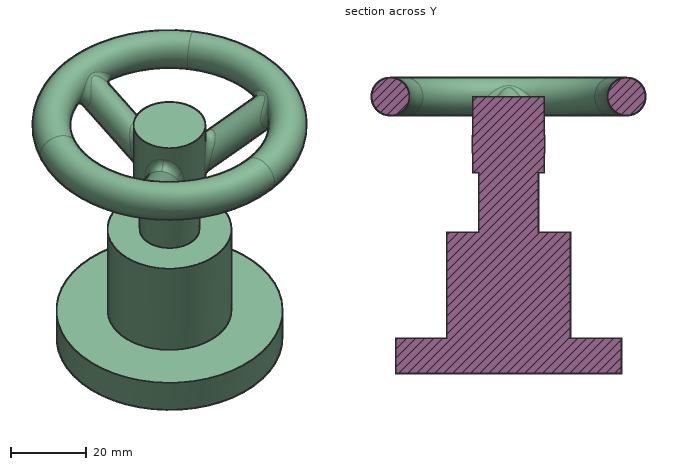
import cadquery as cq
import math

base_diameter = 60.2
base_height = 9.45
body_diameter = 33.0
body_top = 37.7
stem_diameter = 16.0
stem_top = 53.45
hub_diameter = 19.15

overall_height = 78.8
rim_outer_diameter = 73.1
rim_tube_diameter = 10.2
rim_tube_radius = rim_tube_diameter / 2
rim_center_radius = rim_outer_diameter / 2 - rim_tube_radius
rim_center_height = overall_height - rim_tube_radius

spoke_count = 3
sector_angle = 360 / spoke_count
first_spoke_angle = 90
spoke_diameter = 9.0
spoke_slope = 30
spoke_start_radius = 6.3
hub_blend_radius = 2.0
rim_blend_radius = 2.0


def make_disc(diameter, bottom, top):
    return cq.Workplane("XY", origin=(0, 0, bottom)).circle(diameter / 2).extrude(top - bottom)


def make_rim_sector():
    """One share of the rim, centered on the +X axis."""
    profile = cq.Workplane("XZ").center(rim_center_radius, rim_center_height).circle(rim_tube_radius)
    sector = profile.revolve(sector_angle, (-rim_center_radius, 0), (-rim_center_radius, 1))
    return sector.rotate((0, 0, 0), (0, 0, 1), -sector_angle / 2)


def make_spoke():
    slope = math.radians(spoke_slope)
    run = rim_center_radius - spoke_start_radius
    start = cq.Vector(spoke_start_radius, 0, rim_center_height - run * math.tan(slope))
    direction = cq.Vector(math.cos(slope), 0, math.sin(slope))
    length = run / math.cos(slope)
    return cq.Workplane(cq.Solid.makeCylinder(spoke_diameter / 2, length, start, direction))


def blend_joints(body, nearest, farthest, radius):
    """Fillet the free-form curves centered within a range of distances from the Z axis."""
    joints = [
        edge
        for edge in body.edges().vals()
        if edge.geomType() == "BSPLINE"
        and nearest < math.hypot(edge.Center().x, edge.Center().y) < farthest
    ]
    return cq.Workplane(body.val().fillet(radius, joints))


def make_wheel_sector():
    """One spoke blended into its share of the rim."""
    sector = make_rim_sector().union(make_spoke())
    return blend_joints(sector, hub_diameter / 2, rim_center_radius, rim_blend_radius)


result = make_disc(base_diameter, 0, base_height)
result = result.union(make_disc(body_diameter, base_height, body_top))
result = result.union(make_disc(stem_diameter, body_top, stem_top))
result = result.union(make_disc(hub_diameter, stem_top, rim_center_height))

wheel_sector = make_wheel_sector()
for index in range(spoke_count):
    angle = first_spoke_angle + index * sector_angle
    result = result.union(wheel_sector.rotate((0, 0, 0), (0, 0, 1), angle), clean=False)

result = blend_joints(result, 0, hub_diameter / 2, hub_blend_radius).solids()